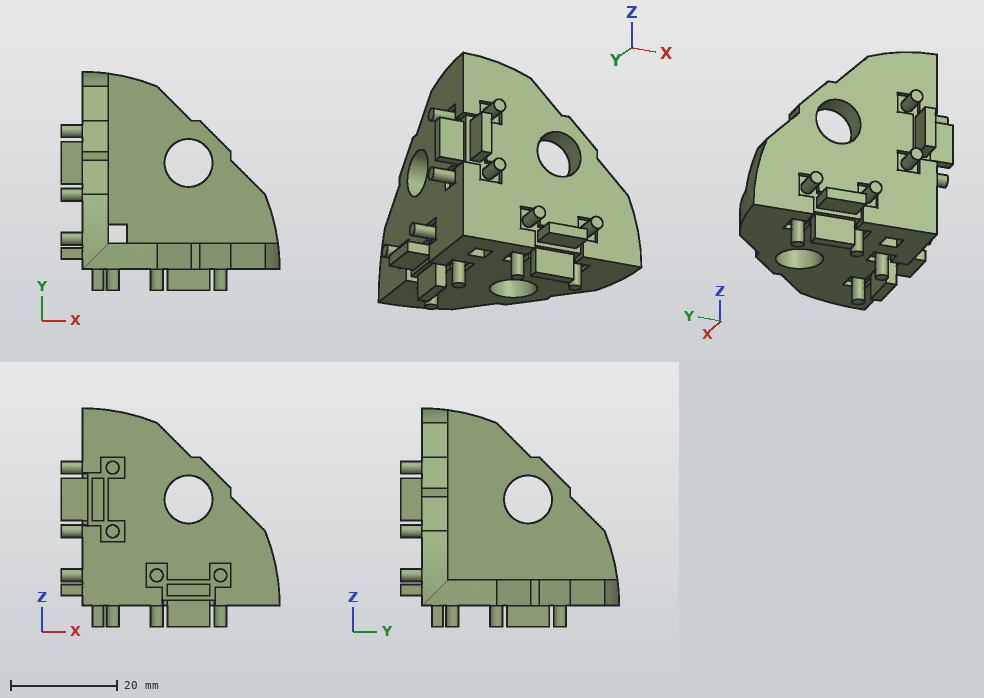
import math
import cadquery as cq


plate_radius = 37.2
plate_thickness = 4.9
flat_sum = 48.5
tab_sum = 50.1
connector_center = 20.0
hole_diameter = 9.0

protrusion = 4.0
recess_depth = 1.0
pin_diameter = 2.4
pin_spacing = 12.0
pin_inset = 5.7
bar_length = 8.0
bar_start = 1.9
bar_width = 2.1
pad_start = 3.5
pad_width = 4.5
pad_length = 4.0
channel_length = 10.0

window_size = 3.5

tab_reach = connector_center + pin_spacing / 2 + pad_length / 2
corner_axis = (1, 1, 1)
plate_turn = 120


def on_each_plate(shape):
    """Return the bottom-plate shape turned onto all three plates."""
    return [shape.rotate((0, 0, 0), corner_axis, turn * plate_turn) for turn in range(3)]


def box(u_start, v_start, w_start, u_size, v_size, w_size):
    """Box given by its lowest corner and its sizes."""
    block = cq.Workplane("XY").box(u_size, v_size, w_size, centered=False)
    return block.translate((u_start, v_start, w_start))


def plate_profile(height):
    """Quarter disc cut by a diagonal flat that carries a raised tab."""
    half_chord = math.sqrt(plate_radius**2 / 2 - flat_sum**2 / 4)
    far = flat_sum / 2 + half_chord
    near = flat_sum / 2 - half_chord
    mid_angle = math.atan2(near, far) / 2
    arc_long = plate_radius * math.cos(mid_angle)
    arc_short = plate_radius * math.sin(mid_angle)
    return (
        cq.Workplane("XY")
        .lineTo(plate_radius, 0)
        .threePointArc((arc_long, arc_short), (far, near))
        .lineTo(tab_reach, flat_sum - tab_reach)
        .lineTo(tab_reach, tab_sum - tab_reach)
        .lineTo(tab_sum - tab_reach, tab_reach)
        .lineTo(flat_sum - tab_reach, tab_reach)
        .lineTo(near, far)
        .threePointArc((arc_short, arc_long), (0, plate_radius))
        .close()
        .extrude(height)
    )


def corner_body():
    """Three plates joined, each trimmed by the outlines of the other two."""
    first, second, third = on_each_plate(plate_profile(plate_thickness))
    body = first.union(second).union(third)
    for outline in on_each_plate(plate_profile(plate_radius)):
        body = body.intersect(outline)
    return body


def round_hole():
    return (
        cq.Workplane("XY")
        .center(connector_center, connector_center)
        .circle(hole_diameter / 2)
        .extrude(plate_thickness)
    )


def corner_window():
    return box(plate_thickness, plate_thickness, 0, window_size, window_size, plate_thickness)


def connector_recess():
    """Channel open to the plate edge, with a pad around each pin."""
    channel_start = connector_center - channel_length / 2
    recess = box(channel_start, 0, 0, channel_length, plate_thickness, recess_depth)
    for side in (-1, 1):
        pad_left = connector_center + side * pin_spacing / 2 - pad_length / 2
        recess = recess.union(box(pad_left, pad_start, 0, pad_length, pad_width, recess_depth))
    return recess


def connector_prongs():
    """Two pins and the bar between them, standing on the recess floor."""
    prong_length = protrusion + recess_depth
    bar_left = connector_center - bar_length / 2
    bar = box(bar_left, bar_start, -protrusion, bar_length, bar_width, prong_length)
    pins = (
        cq.Workplane("XY", origin=(connector_center, pin_inset, -protrusion))
        .rarray(pin_spacing, 1, 2, 1)
        .circle(pin_diameter / 2)
        .extrude(prong_length)
    )
    return [bar, pins]


def on_both_edges(shape):
    """Return the shape beside the plate's u edge and its twin beside the v edge."""
    twin = shape.mirror("XZ").rotate((0, 0, 0), (0, 0, 1), 90)
    return [shape, twin]


result = corner_body().cut(corner_window())
for hole in on_each_plate(round_hole()):
    result = result.cut(hole)
for recess in on_both_edges(connector_recess()):
    for turned in on_each_plate(recess):
        result = result.cut(turned)
for prong in connector_prongs():
    for placed in on_both_edges(prong):
        for turned in on_each_plate(placed):
            result = result.union(turned)